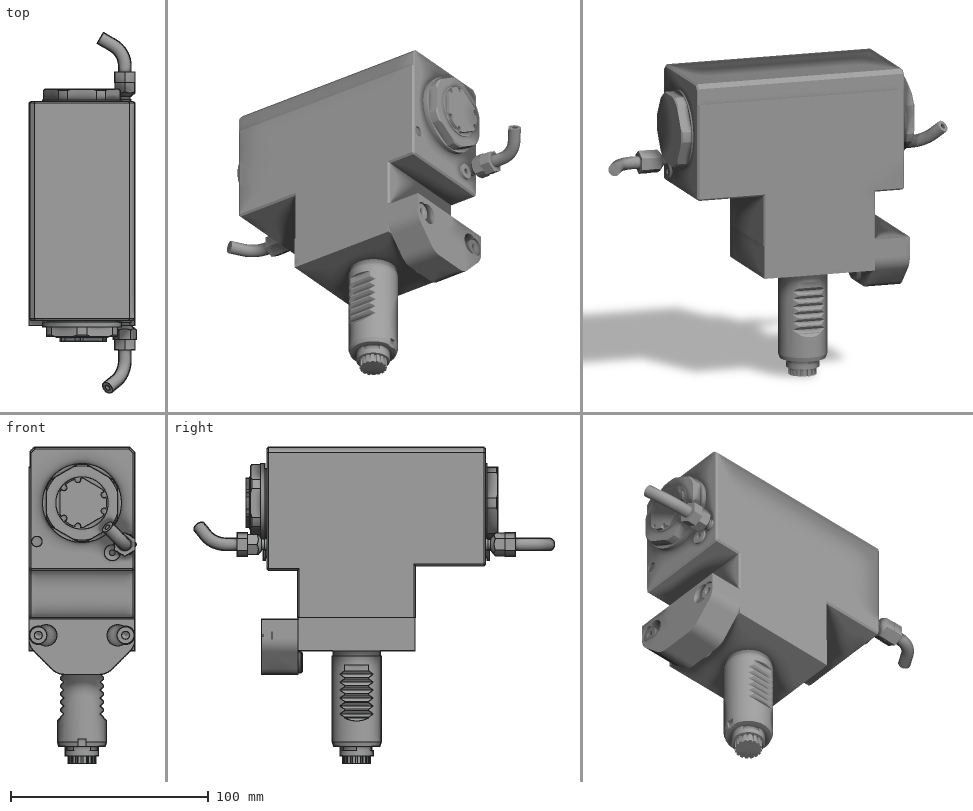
import cadquery as cq
import math


corner_to_flat = 30

half_width = 26.8
housing_top = 103.0
front_face_y = -45.4
rear_face_y = 65.3
front_wing_bottom = 40.6
rear_wing_bottom = 42.8
neck_half_depth = 29.9
top_chamfer = 2.7
edge_chamfer = 1.0
side_step_depth = 0.5
side_step_z = 92.8
plug_dia = 8.0
plug_hole_dia = 3.0
plug_height = 1.8
plug_stem_dia = 5.3
plug_stem_height = 0.7
plug_x = 15.3
plug_z = 49.5
pin_hole_dia = 5.3
pin_hole_depth = 1.0
pin_hole_x = -22.8
pin_hole_z = 55.2

base_height = 17.0
base_half_depth = 29.5
shank_dia = 25.0
shank_neck_dia = 24.0
shank_neck_height = 2.7
shank_bottom = -48.3
shank_chamfer_height = 2.2
shank_chamfer_width = 0.7
collar_dia = 17.0
collar_bottom = -53.0
spline_dia = 14.0
spline_bottom = -57.0
spline_count = 16
spline_groove_width = 1.1
spline_groove_depth = 0.7
rack_flat_x = 11.0
rack_root_x = 9.3
rack_top = -7.1
rack_bottom = -33.9
groove_count = 6
first_groove_z = -11.8
groove_pitch = 4.0
key_slot_width = 4.0
key_slot_height = 3.8
key_slot_depth = 1.5
bayonet_count = 3
bayonet_angle = 60
bayonet_height = 2.2
bayonet_depth = 0.7

plate_top = 16.0
plate_bottom = -12.0
plate_thickness = 18.6
plate_fillet_top = 6.2
plate_fillet = 9.5
screw_x = 22.0
screw_z = 7.8
screw_head_dia = 8.5
screw_socket_dia = 4.0
screw_socket_depth = 1.5
screw_head_drop = 1.0
pocket_outer_dia = 9.3
pocket_inner_dia = 10.8
pocket_inner_x = 18.0
pocket_depth = 5.5
boss_dia = 10.5
boss_height = 2.2
boss_chamfer = 0.7
boss_z = -5.8

spindle_z = 74.7
nut_across_flats = 36.1
nut_corner_dia = 39.0
nut_corner_chamfer = 0.7
nut_flange_dia = 40.0
front_neck_dia = 34.8
front_neck_length = 1.0
front_flange_length = 2.4
front_hex_length = 5.0
rear_flange_length = 0.7
rear_hex_length = 5.5
collet_seat_dia = 26.5
collet_dia = 25.0
collet_seat_height = 0.5
collet_height = 2.4
collet_lobe_count = 3
collet_flat_distance = 11.1
collet_notch_dia = 3.0
collet_notch_radius = 11.8
collet_notch_offset = 20

nozzle_x = 21.7
nozzle_z = 53.8
fitting_hex = 10.2
union_hex = 10.4
seat_dia = 6.0
seat_length = 1.1
nozzle_neck_dia = 5.3
cone_start = 2.5
fitting_start = 5.0
fitting_length = 4.7
union_length = 5.3
tube_dia = 6.4
front_bend_start = 19.9
rear_bend_start = 17.9
bend_radius = 12.2
bend_angle = 60
tip_length = 7.3
tip_bore_dia = 3.0
tip_bore_depth = 3.6
front_clocking = 135


def cylinder(dia, height, z=0):
    return cq.Workplane("XY").workplane(offset=z).circle(dia / 2).extrude(height)


def hexagon(across_flats, height, z, turn=0):
    """Hexagonal prism along Z, with corners on the X axis at zero turn."""
    corner_dia = across_flats / math.cos(math.pi / 6)
    prism = cq.Workplane("XY").workplane(offset=z).polygon(6, corner_dia).extrude(height)
    return prism.rotate((0, 0, 0), (0, 0, 1), turn)


def face_front(body, x, y, z):
    """Turn a body built along +Z so that it points to -Y, then place it."""
    return body.rotate((0, 0, 0), (1, 0, 0), 90).translate((x, y, z))


def face_rear(body, x, y, z):
    """Turn a body built along +Z so that it points to +Y, then place it."""
    return body.rotate((0, 0, 0), (1, 0, 0), 90).rotate((0, 0, 0), (0, 0, 1), 180).translate((x, y, z))


def block(y_min, y_max, z_min, z_max):
    """Box across the full width."""
    box = cq.Workplane("XY").box(2 * half_width, y_max - y_min, z_max - z_min, centered=(True, False, False))
    return box.translate((0, y_min, z_min))


def housing_wing(y_end, bottom):
    """Half of the spindle housing, from the shank axis out to one end face."""
    wing = block(min(0, y_end), max(0, y_end), bottom, housing_top)
    wing = wing.edges("|Y and >Z").chamfer(top_chamfer)
    wing = wing.edges("|Y and <Z").chamfer(edge_chamfer)
    end_face = "<Y" if y_end < 0 else ">Y"
    return wing.faces(end_face).edges().chamfer(edge_chamfer)


def make_housing():
    neck = block(-neck_half_depth, neck_half_depth, base_height, side_step_z)
    neck = neck.edges("|Z").chamfer(edge_chamfer)
    body = housing_wing(front_face_y, front_wing_bottom).union(housing_wing(rear_face_y, rear_wing_bottom))
    body = body.union(neck)

    side_step = block(front_face_y, rear_face_y, side_step_z, housing_top)
    body = body.cut(side_step.translate((side_step_depth - 2 * half_width, 0, 0)))

    plug = cylinder(plug_stem_dia, plug_stem_height)
    plug = plug.union(cylinder(plug_dia, plug_height - plug_stem_height, plug_stem_height))
    plug = plug.cut(cylinder(plug_hole_dia, plug_height))
    body = body.union(face_front(plug, plug_x, front_face_y, plug_z))
    body = body.union(face_rear(plug, plug_x, rear_face_y, plug_z))

    pin_hole = cylinder(pin_hole_dia, pin_hole_depth, -pin_hole_depth)
    return body.cut(face_front(pin_hole, pin_hole_x, front_face_y, pin_hole_z))


def rack_cutter():
    """Serrated flat on the +X side of the shank, with a 45 degree run-out at its lower end."""
    shank_radius = shank_dia / 2
    groove_half = rack_flat_x - rack_root_x
    points = [(shank_radius, rack_top), (rack_flat_x, rack_top)]
    for index in range(groove_count):
        z = first_groove_z - index * groove_pitch
        points += [(rack_flat_x, z + groove_half), (rack_root_x, z), (rack_flat_x, z - groove_half)]
    points += [(rack_flat_x, rack_bottom), (shank_radius, rack_bottom - (shank_radius - rack_flat_x))]
    return cq.Workplane("XZ").polyline(points).close().extrude(shank_radius, both=True)


def bayonet_cutter():
    """Sector-shaped recess in the rim of the collar, directly below the shank."""
    half_angle = math.radians(bayonet_angle / 2)
    reach_x = collar_dia * math.cos(half_angle)
    reach_y = collar_dia * math.sin(half_angle)
    sector = cq.Workplane("XY").workplane(offset=shank_bottom - bayonet_height)
    sector = sector.polyline([(0, 0), (reach_x, -reach_y), (reach_x, reach_y)]).close()
    sector = sector.extrude(bayonet_height)
    core = cylinder(collar_dia - 2 * bayonet_depth, bayonet_height, shank_bottom - bayonet_height)
    return sector.cut(core)


def make_base_shank():
    shank_radius = shank_dia / 2
    shank_profile = [
        (0, 0),
        (shank_neck_dia / 2, 0),
        (shank_neck_dia / 2, -shank_neck_height),
        (shank_radius, -shank_neck_height),
        (shank_radius, shank_bottom + shank_chamfer_height),
        (shank_radius - shank_chamfer_width, shank_bottom),
        (collar_dia / 2, shank_bottom),
        (collar_dia / 2, collar_bottom),
        (spline_dia / 2, collar_bottom),
        (spline_dia / 2, spline_bottom),
        (0, spline_bottom),
    ]
    shank = cq.Workplane("XZ").polyline(shank_profile).close().revolve(360, (0, 0, 0), (0, 1, 0))

    rack = rack_cutter()
    shank = shank.cut(rack).cut(rack.mirror("YZ"))

    key_slot = cq.Workplane("XY").rect(key_slot_width, 2 * key_slot_depth).extrude(key_slot_height)
    shank = shank.cut(key_slot.translate((0, -shank_radius, shank_bottom)))

    bayonet = bayonet_cutter()
    for index in range(bayonet_count):
        turn = 90 + index * 360 / bayonet_count
        shank = shank.cut(bayonet.rotate((0, 0, 0), (0, 0, 1), turn))

    spline_grooves = (
        cq.Workplane("XY")
        .workplane(offset=spline_bottom)
        .polarArray(spline_dia / 2, 0, 360, spline_count)
        .rect(2 * spline_groove_depth, spline_groove_width)
        .extrude(collar_bottom - spline_bottom)
    )
    shank = shank.cut(spline_grooves)
    return block(-base_half_depth, base_half_depth, 0, base_height).union(shank)


def make_clamp_plate():
    tangent = plate_fillet * math.tan(math.pi / 8)
    flank_top = plate_fillet_top - tangent
    bottom_half = half_width - (flank_top - plate_bottom)
    outline = [
        (-half_width, plate_top),
        (-half_width, flank_top),
        (-bottom_half, plate_bottom),
        (bottom_half, plate_bottom),
        (half_width, flank_top),
        (half_width, plate_top),
    ]
    plate = cq.Workplane("XZ").polyline(outline).close().extrude(plate_thickness)
    plate = plate.edges("|Y and (not >Z)").fillet(plate_fillet)
    plate = plate.translate((0, -base_half_depth, 0))

    boss = cylinder(boss_dia, boss_height).faces(">Z").chamfer(boss_chamfer)
    plate = plate.union(face_rear(boss, 0, -base_half_depth, boss_z))

    plate_front_y = -base_half_depth - plate_thickness
    head_height = pocket_depth - screw_head_drop
    socket = cq.Workplane(cq.Solid.makeCone(0, screw_socket_dia / 2, screw_socket_depth))
    socket = socket.translate((0, 0, head_height - screw_socket_depth))
    screw_head = cylinder(screw_head_dia, head_height).cut(socket)
    pocket_floor_y = plate_front_y + pocket_depth
    for side in (-1, 1):
        outer = cylinder(pocket_outer_dia, pocket_depth).translate((side * screw_x, 0, 0))
        inner = cylinder(pocket_inner_dia, pocket_depth).translate((side * pocket_inner_x, 0, 0))
        plate = plate.cut(face_front(outer.union(inner), 0, pocket_floor_y, screw_z))
        plate = plate.union(face_front(screw_head, side * screw_x, pocket_floor_y, screw_z))
    return plate


def nut_hexagon(length, z, turn):
    """Hexagon whose corners are turned down to a cylinder, chamfered at the outer end."""
    turned = cylinder(nut_corner_dia, length, z).faces(">Z").chamfer(nut_corner_chamfer)
    return hexagon(nut_across_flats, length, z, turn).intersect(turned)


def make_front_nut():
    hex_start = front_neck_length + front_flange_length
    face = hex_start + front_hex_length
    nut = cylinder(front_neck_dia, front_neck_length)
    nut = nut.union(cylinder(nut_flange_dia, front_flange_length, front_neck_length))
    nut = nut.union(nut_hexagon(front_hex_length, hex_start, corner_to_flat))
    nut = nut.union(cylinder(collet_seat_dia, collet_seat_height, face))

    collet = cylinder(collet_dia, collet_height, face)
    flat_cutter = cq.Workplane("XY").box(collet_dia, collet_dia, collet_height, centered=(False, True, False))
    flat_cutter = flat_cutter.translate((collet_flat_distance, 0, face))
    notch = cylinder(collet_notch_dia, collet_height, face).translate((collet_notch_radius, 0, 0))
    for index in range(collet_lobe_count):
        lobe_angle = index * 360 / collet_lobe_count
        collet = collet.cut(flat_cutter.rotate((0, 0, 0), (0, 0, 1), lobe_angle + 180 / collet_lobe_count))
        for offset in (-collet_notch_offset, collet_notch_offset):
            collet = collet.cut(notch.rotate((0, 0, 0), (0, 0, 1), lobe_angle + offset))
    nut = nut.union(collet)
    return face_front(nut, 0, front_face_y, spindle_z)


def make_rear_nut():
    nut = cylinder(nut_flange_dia, rear_flange_length)
    nut = nut.union(nut_hexagon(rear_hex_length, rear_flange_length, 0))
    return face_rear(nut, 0, rear_face_y, spindle_z)


def make_nozzle(fitting_turn, bend_start, bend_clocking, bored):
    """Nozzle built along +Z; at zero clocking the tube bends towards +X."""
    union_start = fitting_start + fitting_length
    union_end = union_start + union_length
    corner_radius = fitting_hex / 2 / math.cos(math.pi / 6)

    taper_height = fitting_start - cone_start
    taper = cq.Workplane(cq.Solid.makeCone(seat_dia / 2, corner_radius, taper_height))
    taper = taper.translate((0, 0, cone_start))
    envelope = taper.union(cylinder(2 * corner_radius, fitting_length, fitting_start))
    fitting = hexagon(fitting_hex, taper_height + fitting_length, cone_start, fitting_turn)
    fitting = fitting.intersect(envelope)

    nozzle = cylinder(seat_dia, seat_length)
    nozzle = nozzle.union(cylinder(nozzle_neck_dia, cone_start))
    nozzle = nozzle.union(fitting)
    nozzle = nozzle.union(hexagon(union_hex, union_length, union_start, corner_to_flat))
    nozzle = nozzle.union(cylinder(tube_dia, bend_start - union_end, union_end))

    bend = cq.Workplane("XY").workplane(offset=bend_start).circle(tube_dia / 2)
    bend = bend.revolve(bend_angle, (bend_radius, 0, 0), (bend_radius, 1, 0))
    angle = math.radians(bend_angle)
    bend_end_x = bend_radius * (1 - math.cos(angle))
    bend_end_z = bend_start + bend_radius * math.sin(angle)
    tip = cylinder(tube_dia, tip_length)
    if bored:
        tip = tip.cut(cylinder(tip_bore_dia, tip_bore_depth, tip_length - tip_bore_depth))
    tip = tip.rotate((0, 0, 0), (0, 1, 0), bend_angle).translate((bend_end_x, 0, bend_end_z))
    bent_tube = bend.union(tip).rotate((0, 0, 0), (0, 0, 1), bend_clocking)
    return nozzle.union(bent_tube)


def make_front_nozzle():
    nozzle = make_nozzle(0, front_bend_start, front_clocking, True)
    return face_front(nozzle, nozzle_x, front_face_y, nozzle_z)


def make_rear_nozzle():
    nozzle = make_nozzle(corner_to_flat, rear_bend_start, 0, False)
    return face_rear(nozzle, nozzle_x, rear_face_y, nozzle_z)


housing = make_housing()
base_shank = make_base_shank()
clamp_plate = make_clamp_plate()
front_nut = make_front_nut()
rear_nut = make_rear_nut()
front_nozzle = make_front_nozzle()
rear_nozzle = make_rear_nozzle()

result = cq.Compound.makeCompound([
    housing.solids().val(),
    base_shank.solids().val(),
    clamp_plate.solids().val(),
    front_nut.solids().val(),
    rear_nut.solids().val(),
    front_nozzle.solids().val(),
    rear_nozzle.solids().val(),
])